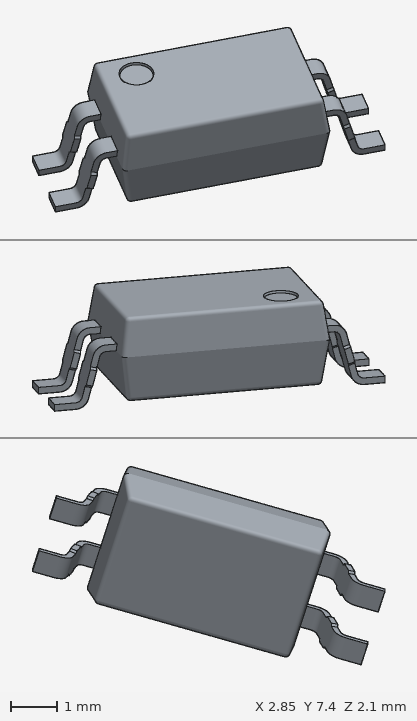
import cadquery as cq
import math

housing_width = 2.85
housing_length = 4.65
housing_bottom = 0.2
housing_top = 2.1
parting_height = 1.25
draft_angle = 8.0
edge_radius = 0.1

mark_diameter = 0.75
mark_depth = 0.05
mark_draft = 20.0
mark_side_inset = 0.75
mark_x = mark_side_inset - housing_width / 2
mark_end_inset = 0.9
mark_y = mark_end_inset - housing_length / 2

lead_span = 7.4
lead_pitch = 1.27
lead_width = 0.5
lead_thickness = 0.15
foot_length = 0.47
bend_radius = 0.15
leg_tilt = 15.0
embed_depth = 0.3

dam_width = 0.6
dam_length = 0.45
dam_chamfer = (dam_width - lead_width) / 2

outer_radius = bend_radius + lead_thickness
middle_radius = bend_radius + lead_thickness / 2
tilt = math.radians(leg_tilt)
toe_y = -lead_span / 2
lower_bend_y = toe_y + foot_length
lower_bend_z = outer_radius
upper_bend_z = parting_height - bend_radius
bend_rise = upper_bend_z - lower_bend_z
leg_rise = bend_rise + 2 * middle_radius * math.sin(tilt)
leg_run = leg_rise * math.tan(tilt)
upper_bend_y = lower_bend_y + leg_run + 2 * middle_radius * math.cos(tilt)
leg_middle_y = (lower_bend_y + upper_bend_y) / 2
leg_middle_z = (lower_bend_z + upper_bend_z) / 2
root_y = -housing_length / 2 + embed_depth


def housing_half(height):
    """Drafted half of the housing, from the parting plane up or down by a signed height."""
    return (
        cq.Workplane("XY", origin=(0, 0, parting_height))
        .rect(housing_width, housing_length)
        .extrude(height, taper=draft_angle)
    )


def make_housing_blank():
    """Two drafted halves with every edge rounded except those on the parting plane."""
    upper = housing_half(housing_top - parting_height)
    upper = upper.edges("not <Z").fillet(edge_radius)
    lower = housing_half(housing_bottom - parting_height)
    lower = lower.edges("not >Z").fillet(edge_radius)
    return upper.union(lower, clean=False)


def cut_pin_mark(body):
    """Sink the round pin 1 mark, with drafted walls, into the top face."""
    mark = (
        cq.Workplane("XY", origin=(mark_x, mark_y, housing_top))
        .circle(mark_diameter / 2)
        .extrude(-mark_depth, taper=mark_draft)
    )
    return body.cut(mark)


def arc_point(center_y, center_z, radius, angle):
    """Point at an angle in radians on a bend arc, in the YZ plane."""
    return (center_y + radius * math.cos(angle), center_z + radius * math.sin(angle))


def upper_bend(radius, angle):
    return arc_point(upper_bend_y, upper_bend_z, radius, angle)


def lower_bend(radius, angle):
    return arc_point(lower_bend_y, lower_bend_z, radius, angle)


def make_bent_strip(center_x):
    """Constant-width strip: buried root, bend, sloping leg, bend and flat foot."""
    upper_start = math.pi / 2
    upper_end = math.pi - tilt
    upper_middle = (upper_start + upper_end) / 2
    lower_start = -math.pi / 2
    lower_end = -tilt
    lower_middle = (lower_start + lower_end) / 2
    return (
        cq.Workplane("YZ", origin=(center_x, 0, 0))
        .moveTo(toe_y, 0)
        .lineTo(*lower_bend(outer_radius, lower_start))
        .threePointArc(lower_bend(outer_radius, lower_middle), lower_bend(outer_radius, lower_end))
        .lineTo(*upper_bend(bend_radius, upper_end))
        .threePointArc(upper_bend(bend_radius, upper_middle), upper_bend(bend_radius, upper_start))
        .lineTo(root_y, parting_height)
        .lineTo(root_y, parting_height + lead_thickness)
        .lineTo(*upper_bend(outer_radius, upper_start))
        .threePointArc(upper_bend(outer_radius, upper_middle), upper_bend(outer_radius, upper_end))
        .lineTo(*lower_bend(bend_radius, lower_end))
        .threePointArc(lower_bend(bend_radius, lower_middle), lower_bend(bend_radius, lower_start))
        .lineTo(toe_y, lead_thickness)
        .close()
        .extrude(lead_width / 2, both=True)
    )


def make_dam(center_x):
    """Widened pad with chamfered corners, lying in the plane of the sloping leg."""
    return (
        cq.Workplane("XY")
        .box(dam_width, lead_thickness, dam_length)
        .edges("|Y")
        .chamfer(dam_chamfer)
        .rotate((0, 0, 0), (1, 0, 0), -leg_tilt)
        .translate((center_x, leg_middle_y, leg_middle_z))
    )


def make_lead(center_x, half_turn):
    """One lead on the -Y side, or turned half round Z onto the +Y side."""
    lead = make_bent_strip(center_x).union(make_dam(center_x))
    return lead.rotate((0, 0, 0), (0, 0, 1), half_turn)


leads = [make_lead(x, turn) for turn in (0, 180) for x in (-lead_pitch / 2, lead_pitch / 2)]

housing = cut_pin_mark(make_housing_blank())
for lead in leads:
    housing = housing.cut(lead)

result = cq.Compound.makeCompound([housing.val(), *[lead.val() for lead in leads]])